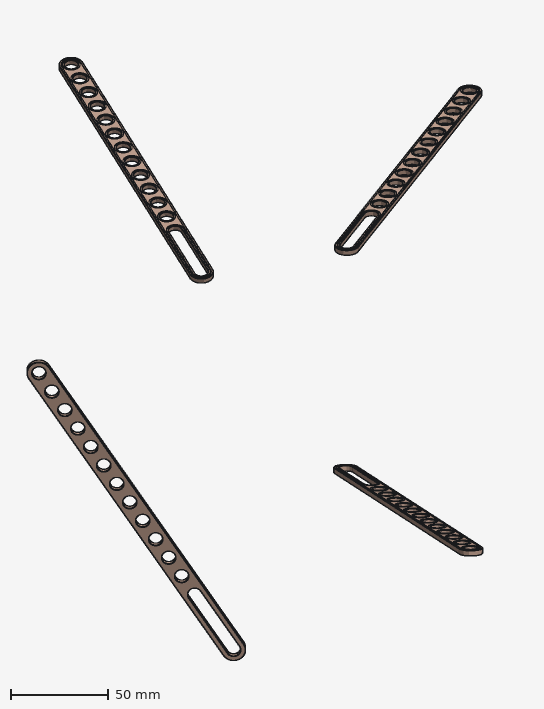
import cadquery as cq

length = 200.0
grid_steps = 16
hole_count = 12
hole_diameter = 7.0
land_width = 1.1
edge_chamfer = 0.3
recess_depth = 0.2

pitch = length / grid_steps
width = pitch
thickness = pitch / 4
collar_diameter = hole_diameter + 2 * land_width
first_hole_x = (width - length) / 2
hole_centers = [(first_hole_x + i * pitch, 0) for i in range(hole_count)]

slot_start_x = first_hole_x + hole_count * pitch
slot_end_x = -first_hole_x
slot_center = ((slot_start_x + slot_end_x) / 2, 0)
slot_travel = slot_end_x - slot_start_x


def rounded_bar(inset, height):
    """Bar with round ends, set in from the strip outline."""
    return cq.Workplane("XY").slot2D(length - 2 * inset, width - 2 * inset).extrude(height)


def openings(diameter, height):
    """All round holes and the long slot as solids of one common width."""
    holes = cq.Workplane("XY").pushPoints(hole_centers).circle(diameter / 2).extrude(height)
    slot = (
        cq.Workplane("XY")
        .pushPoints([slot_center])
        .slot2D(slot_travel + diameter, diameter)
        .extrude(height)
    )
    return holes.union(slot)


def top_recess():
    """Shallow recess inside the rim, leaving a collar around each opening."""
    recess = rounded_bar(land_width, recess_depth).cut(openings(collar_diameter, recess_depth))
    return recess.translate((0, 0, thickness - recess_depth))


strip = rounded_bar(0, thickness).cut(openings(hole_diameter, thickness))
for face in (">Z", "<Z"):
    strip = strip.faces(face).edges().chamfer(edge_chamfer)

result = strip.cut(top_recess())